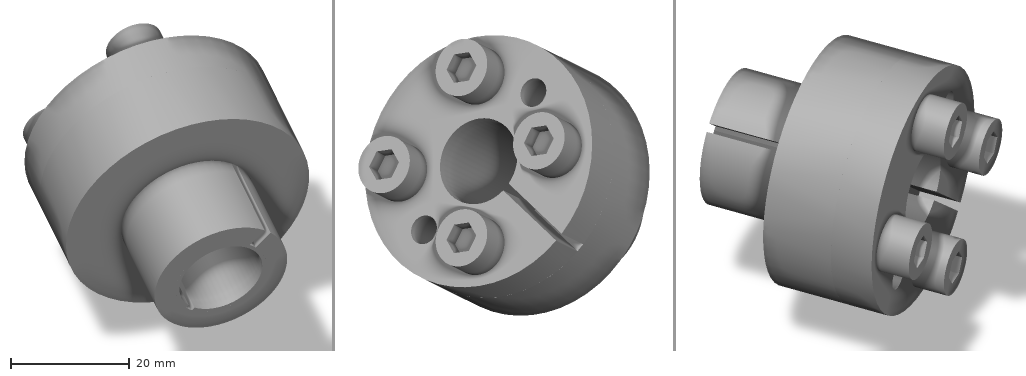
import cadquery as cq
import math

flange_thickness = 7.5
housing_length = 12.5
sleeve_projection = 16.0
collar_thickness = 6.0
collar_end = flange_thickness + collar_thickness
housing_end = flange_thickness + housing_length
sleeve_end = housing_end + sleeve_projection

body_diameter = 44.0
bore_diameter = 15.0
sleeve_diameter = 24.0
collar_diameter = 39.4
taper_front_radius = 10.15
taper_rear_radius = 8.2

slot_width = 1.5
bush_slot_turn = 45
sleeve_slot_turn = bush_slot_turn + 180

pitch_radius = 15.0
screw_angles = [0, 90, 180, 270]
extraction_angles = [135, 315]
extraction_diameter = 5.0

screw_diameter = 6.0
screw_length = 18.0
head_diameter = 10.0
head_height = 6.0
socket_across_flats = 5.0
socket_across_corners = socket_across_flats / math.cos(math.pi / 6)
socket_depth = 3.0


def cross_section(x):
    """Sketch plane square to the X axis, with its own first axis towards -Y."""
    return cq.Workplane(cq.Plane(origin=(x, 0, 0), xDir=(0, -1, 0), normal=(1, 0, 0)))


def cylinder(diameter, start, end):
    """Cylinder about the X axis, from X = start to X = end."""
    return cross_section(start).circle(diameter / 2).extrude(end - start)


def at_pitch(shape, angle):
    """Move a shape lying on the X axis out to the pitch circle."""
    y = pitch_radius * math.cos(math.radians(angle))
    z = pitch_radius * math.sin(math.radians(angle))
    return shape.translate((0, y, z))


def cut_holes(body, diameter, end, angles):
    """Drill holes on the pitch circle, from the front of the flange to X = end."""
    for angle in angles:
        body = body.cut(at_pitch(cylinder(diameter, 0, end), angle))
    return body


def taper():
    """Solid cone that narrows towards the rear end of the sleeve."""
    profile = [
        (flange_thickness, 0),
        (flange_thickness, taper_front_radius),
        (sleeve_end, taper_rear_radius),
        (sleeve_end, 0),
    ]
    return cq.Workplane("XY").polyline(profile).close().revolve(360, (0, 0, 0), (1, 0, 0))


def split(body, turn):
    """Slot a body from the axis towards -Y over its full length, then turn it about X."""
    slot = (
        cq.Workplane("XY")
        .box(sleeve_end, body_diameter, slot_width, centered=(False, False, True))
        .translate((0, -body_diameter, 0))
    )
    return body.cut(slot).rotate((0, 0, 0), (1, 0, 0), turn)


def make_bush():
    """Split inner bush: front clamping flange with a long outer taper behind it."""
    bush = cylinder(body_diameter, 0, flange_thickness).union(taper())
    bush = bush.cut(cylinder(bore_diameter, 0, sleeve_end))
    bush = split(bush, bush_slot_turn)
    bush = cut_holes(bush, screw_diameter, flange_thickness, screw_angles)
    return cut_holes(bush, extraction_diameter, flange_thickness, extraction_angles)


def make_sleeve():
    """Split outer sleeve with a tapered bore and a front collar."""
    sleeve = cylinder(sleeve_diameter, flange_thickness, sleeve_end)
    sleeve = sleeve.union(cylinder(collar_diameter, flange_thickness, collar_end))
    sleeve = split(sleeve.cut(taper()), sleeve_slot_turn)
    return cut_holes(sleeve, screw_diameter, collar_end, screw_angles)


def make_housing():
    """Closed ring around the sleeve, recessed at the front for the collar."""
    housing = cylinder(body_diameter, flange_thickness, housing_end)
    housing = housing.cut(cylinder(sleeve_diameter, flange_thickness, housing_end))
    housing = housing.cut(cylinder(collar_diameter, flange_thickness, collar_end))
    return cut_holes(housing, screw_diameter, screw_length, screw_angles)


def make_screw(angle):
    """Cap screw with a hexagon socket, its head seated on the front of the flange."""
    socket = cross_section(-head_height).polygon(6, socket_across_corners).extrude(socket_depth)
    head = cylinder(head_diameter, -head_height, 0).cut(socket)
    screw = head.union(cylinder(screw_diameter, 0, screw_length))
    return at_pitch(screw, angle)


bush = make_bush()
sleeve = make_sleeve()
housing = make_housing()
screws = [make_screw(angle).val() for angle in screw_angles]

result = cq.Compound.makeCompound([bush.val(), sleeve.val(), housing.val(), *screws])